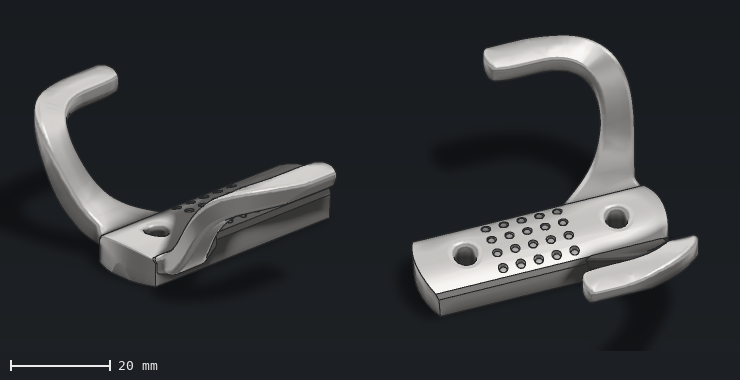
import cadquery as cq
import math

plate_length = 52.56
plate_width = 16.4
plate_height = 7.7
arch_width = 14.9
arch_edge_height = 6.2
side_height = 5.1
end_radius = 17.8
end_draft = 3.1
end_rounding = 0.5
undercut_height = 3.1
undercut_depth = 0.21

screw_spacing = 32.0
screw_center_y = -0.2
screw_diameter = 4.4
screw_rim_radius = 1.5
strip_width = 1.9

dimple_columns = 4
dimple_rows = 5
dimple_pitch = 3.78
dimple_center_y = 2.1
dimple_diameter = 1.9
dimple_floor_diameter = 1.5
dimple_depth = 0.4

hook_span = 70.54
hook_height = 27.58
hook_rounding = 1.0
underside_rounding = 1.9
tip_outer_x = -hook_span / 2
tip_inner_x = -28.6
tip_corner_y = 0.3
tip_crown_y = 1.3
root_x = -6.0
root_front_y = -25.0
root_back_y = -4.4
root_top_z = 5.6
root_bottom_z = 2.3
straight_end_y = -6.5
tip_upper_z = 26.8
tip_lower_z = 25.3
neck_point = (-9.7, -23.3)
neck_radius = 1.5
underside_middle = (-21, -13.5, 13)
edge_tolerance = 0.01

half_length = plate_length / 2
half_width = plate_width / 2
arch_rise = plate_height - arch_edge_height
arch_radius = ((arch_width / 2) ** 2 + arch_rise**2) / (2 * arch_rise)
cut_margin = 1.0


def arch_height(x):
    """Height of the arched top at a distance x from the centre plane."""
    return plate_height - arch_radius + math.sqrt(arch_radius**2 - x**2)


def arched_bar():
    """Plate cross-section, extruded well past both rounded ends."""
    return (
        cq.Workplane("XZ")
        .moveTo(-half_width, 0)
        .lineTo(half_width, 0)
        .lineTo(half_width, side_height)
        .lineTo(arch_width / 2, arch_edge_height)
        .threePointArc((0, plate_height), (-arch_width / 2, arch_edge_height))
        .lineTo(-half_width, side_height)
        .close()
        .extrude(plate_length, both=True)
    )


def rounded_ends():
    """Two overlapping round blocks: upright at the -Y end, drafted at the +Y end."""
    end_center_y = half_length - end_radius
    foot_radius = end_radius - plate_height * math.tan(math.radians(end_draft))
    upright = cq.Workplane("XY").center(0, -end_center_y).circle(end_radius).extrude(plate_height)
    drafted = cq.Solid.makeCone(foot_radius, end_radius, plate_height, cq.Vector(0, end_center_y, 0))
    return upright.union(cq.Workplane(obj=drafted))


def foot_undercut():
    """Wedge that slants the foot of the -Y end back towards the rear face."""
    return (
        cq.Workplane("YZ")
        .moveTo(-half_length, undercut_height)
        .lineTo(-half_length, 0)
        .lineTo(-half_length + undercut_depth, 0)
        .close()
        .extrude(half_width, both=True)
    )


def backplate():
    plate = arched_bar().intersect(rounded_ends())
    lower_rim = cq.selectors.BoxSelector(
        (-half_width, -half_length - cut_margin, (side_height + arch_edge_height) / 2),
        (half_width, 0, plate_height + cut_margin),
    )
    plate = plate.edges(lower_rim).edges("not |Y").fillet(end_rounding)
    return plate.cut(foot_undercut())


def add_screw_holes(plate):
    """Through holes whose upper rims are rounded over."""
    for side in (-1, 1):
        hole_y = screw_center_y + side * screw_spacing / 2
        hole = (
            cq.Workplane("XY")
            .center(0, hole_y)
            .circle(screw_diameter / 2)
            .extrude(plate_height + cut_margin)
        )
        plate = plate.cut(hole)
        reach = screw_diameter
        rim_zone = cq.selectors.BoxSelector(
            (-reach, hole_y - reach, side_height),
            (reach, hole_y + reach, plate_height + cut_margin),
        )
        plate = plate.edges(rim_zone).edges("not #Z").fillet(screw_rim_radius)
    return plate


def cut_crest_strip(plate):
    """Narrow flat along the crest, from the lower screw hole to the +Y end."""
    strip_start = screw_center_y - screw_spacing / 2
    strip = cq.Workplane("XY").box(strip_width, plate_length, cut_margin, centered=(True, False, False))
    return plate.cut(strip.translate((0, strip_start, arch_height(strip_width / 2))))


def cut_dimples(plate):
    """Grid of shallow tapered dimples, each sunk from the local height of the arch."""
    wall_flare = dimple_diameter - dimple_floor_diameter
    for column in range(dimple_columns):
        x = (column - (dimple_columns - 1) / 2) * dimple_pitch
        floor_z = arch_height(x) - dimple_depth
        for row in range(dimple_rows):
            y = dimple_center_y + (row - (dimple_rows - 1) / 2) * dimple_pitch
            cutter = cq.Solid.makeCone(
                dimple_floor_diameter / 2,
                dimple_floor_diameter / 2 + wall_flare,
                2 * dimple_depth,
                cq.Vector(x, y, floor_z),
            )
            plate = plate.cut(cq.Workplane(obj=cutter))
    return plate


def arm_plan():
    """Outline of the left arm in plan: a hook that widens into the plate."""
    outer_curve = [
        (-34.3, -12.7),
        (-32, -19),
        (-28.9, -22.9),
        (-25, -25.3),
        (-21.2, -26.15),
        (-15, -25),
        neck_point,
    ]
    inner_curve = [
        (-12.3, -13.6),
        (-16.1, -17.4),
        (-21.2, -19.35),
        (-24.5, -18),
        (-27.3, -13.7),
        (-28.0, -7),
    ]
    tip_inner = (tip_inner_x, tip_corner_y)
    outline = (
        cq.Workplane("XY")
        .moveTo(*tip_inner)
        .threePointArc(((tip_inner_x + tip_outer_x) / 2, tip_crown_y), (tip_outer_x, tip_corner_y))
        .lineTo(tip_outer_x, straight_end_y)
        .spline(outer_curve, tangents=[(0, -1), (1, 0.3)], includeCurrent=True)
        .lineTo(root_x, root_front_y)
        .lineTo(root_x, root_back_y)
        .spline(inner_curve + [tip_inner], includeCurrent=True)
        .close()
        .extrude(hook_height + cut_margin)
    )
    neck = cq.selectors.NearestToPointSelector((*neck_point, hook_height / 2))
    return outline.edges("|Z").edges(neck).fillet(neck_radius)


def arm_elevation():
    """S-shaped band of the left arm in the XZ plane."""
    upper = [
        (-32.2, hook_height),
        (-28.9, 27.05),
        (-25, 25.1),
        (-21.2, 21.3),
        (-17.4, 16),
        (-13.6, 10.85),
        (-11, 8.5),
        (-8.5, 6.85),
        (root_x, root_top_z),
    ]
    lower = [
        (-8.5, 2.55),
        (-11, 3.15),
        (-13.6, 4.4),
        (-16.1, 6.6),
        (-18.7, 9.5),
        (-21.2, 13.35),
        (-25, 18.7),
        (-27.6, 21),
        (-30.2, 22.3),
        (-34, 23.1),
    ]
    return (
        cq.Workplane("XZ", origin=(0, tip_crown_y + cut_margin, 0))
        .moveTo(tip_outer_x, tip_upper_z)
        .spline(upper, includeCurrent=True)
        .lineTo(root_x, root_bottom_z)
        .spline(lower, includeCurrent=True)
        .lineTo(tip_outer_x, tip_lower_z)
        .close()
        .extrude(plate_length)
    )


def hook_arm():
    """Left arm with every edge rounded except those buried in the plate."""
    arm = arm_elevation().intersect(arm_plan())
    underside = cq.selectors.NearestToPointSelector(underside_middle)
    arm = arm.edges(underside).fillet(underside_rounding)
    outside_plate = cq.selectors.BoxSelector(
        (tip_outer_x - cut_margin, -plate_length, 0),
        (root_x - edge_tolerance, plate_length, hook_height + cut_margin),
    )
    return arm.edges(outside_plate).fillet(hook_rounding)


plate = cut_dimples(cut_crest_strip(add_screw_holes(backplate())))
left_arm = hook_arm()
right_arm = left_arm.mirror("YZ")
result = plate.union(left_arm).union(right_arm)